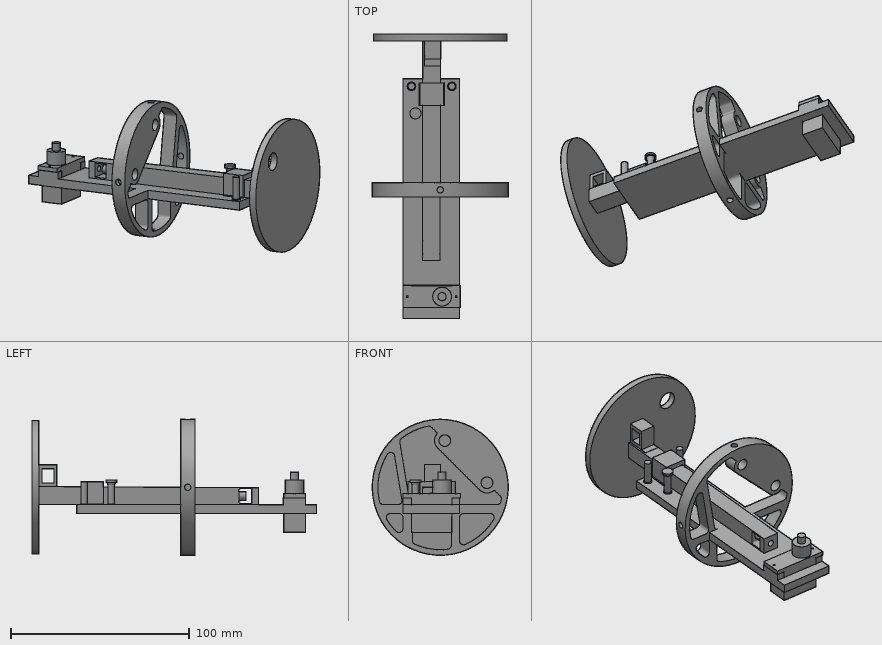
import cadquery as cq
import math


plank_left = -20.9
plank_right = 10.9
plank_top = -9.7
plank_thickness = 5.0
plank_bottom = plank_top - plank_thickness
plank_length = 134.5
foot = 0.5

ring_diameter = 76.3
ring_front = 68.1
ring_thickness = 8.1
ring_rear = ring_front + ring_thickness
ring_middle = ring_front + ring_thickness / 2
rim = 3.2
opening_radius = ring_diameter / 2 - rim
corner_radius = 2.2
screw_hole_diameter = 3.5
spoke_slope = -6.1
spoke_left_x = -21.0
spoke_right_x = -16.9
strut_inner_left = -15.6
strut_inner_right = 6.2
ring_hole_diameter = 6.5
ring_hole_near = 2.5
ring_hole_far = 26.2
ring_hole_centers = [(ring_hole_near, ring_hole_far), (ring_hole_far, ring_hole_near)]
boss_radius = 5.7
boss_corner_radius = 1.0

block_left = -11.3
block_right = 1.9
block_front = 119.5
block_length = 12.6
pin_top = 3.2
pin_diameter = 3.8
pin_foot_diameter = pin_diameter + 2 * foot
plain_pins = [(-16.1, 130.2), (6.5, 130.2)]
headed_pin = (-13.9, 115.0)
head_top = 4.1
head_diameter = 6.2
head_height = 1.5
neck_height = 1.6

disc_diameter = 75.0
disc_thickness = 4.0
disc_back = 159.6
disc_front = disc_back - disc_thickness
disc_hole_diameter = 10.0
disc_hole_offset = 17.5
bar_left = -9.9
bar_front = 32.5
bar_front_width = 9.7
bar_front_height = 9.5
bar_rear_size = 10.2
window_front = 36.4
window_rear = 43.5
window_bottom = -9.0
window_top = -0.8
window_fillet = 0.8
bar_axis_x = bar_left + bar_front_width / 2
bar_axis_z = plank_top + bar_front_height / 2
front_hole_diameter = 3.5
peg_diameter = 5.0
peg_length = 4.0
peg_foot_diameter = 5.5
peg_foot_length = 1.0
loop_left = -8.8
loop_right = 0.2
loop_length = 10.0
loop_top = 12.8
loop_wall = 1.8
loop_opening_bottom = 2.5
loop_opening_top = 10.4
pad_length = 3.8
pad_height = 0.2

servo_front = 6.2
servo_depth = 12.3
servo_clearance = 0.3
servo_middle = servo_front + servo_depth / 2
servo_left = -16.1
servo_right = 6.5
servo_bottom = -25.2
flange_left = plank_left
flange_right = 11.3
flange_top = -3.5
flange_thickness = 2.4
flange_bottom = flange_top - flange_thickness
shaft_x = 1.04
hub_diameter = 10.5
hub_top = 4.1
shaft_diameter = 4.6
shaft_top = 8.5
flange_holes_x = (-18.5, 9.0)
flange_hole_diameter = 1.0


def box(x0, x1, y0, y1, z0, z1):
    """Box between two opposite corners."""
    return cq.Workplane("XY").box(x1 - x0, y1 - y0, z1 - z0, centered=False).translate((x0, y0, z0))


def cylinder_y(x, z, diameter, y0, y1):
    """Cylinder along Y from y0 to y1."""
    return cq.Workplane(cq.Solid.makeCylinder(
        diameter / 2, y1 - y0, cq.Vector(x, y0, z), cq.Vector(0, 1, 0)))


def cylinder_z(x, y, diameter, z0, z1):
    """Cylinder along Z from z0 to z1."""
    return cq.Workplane(cq.Solid.makeCylinder(diameter / 2, z1 - z0, cq.Vector(x, y, z0)))


def ring_prism(points):
    """Prism through the ring's thickness with the given (x, z) corners."""
    flat = cq.Workplane("XZ", origin=(0, ring_front, 0)).polyline(points).close()
    return flat.extrude(-ring_thickness)


def inside_rim(points):
    """The part of a prism that lies inside the ring's rim."""
    bore = cylinder_y(0, 0, 2 * opening_radius, ring_front, ring_rear)
    return bore.intersect(ring_prism(points))


def spoke_x(x_at_plank, z):
    """X of a slanted spoke edge at height z."""
    return x_at_plank + (z - plank_top) / spoke_slope


def main_opening():
    """Large opening above the plank, bounded by the spoke and the land with the two holes."""
    reach = ring_diameter
    center_sum = ring_hole_near + ring_hole_far
    step = boss_radius / math.sqrt(2)
    opening = inside_rim([
        (spoke_right_x, plank_top),
        (center_sum - plank_top, plank_top),
        (center_sum - reach, reach),
        (spoke_x(spoke_right_x, reach), reach),
    ]).edges("|Y").fillet(corner_radius)
    land = ring_prism([
        (ring_hole_near, ring_hole_far),
        (ring_hole_far, ring_hole_near),
        (ring_hole_far - step, ring_hole_near - step),
        (ring_hole_near - step, ring_hole_far - step),
    ])
    opening = opening.cut(land)
    for x, z in ring_hole_centers:
        opening = opening.cut(cylinder_y(x, z, 2 * boss_radius, ring_front, ring_rear))
    boss_corners = [
        (ring_hole_near - step, ring_hole_far + step),
        (ring_hole_far + step, ring_hole_near - step),
    ]
    for x, z in boss_corners:
        corner = cq.selectors.NearestToPointSelector((x, ring_middle, z))
        opening = opening.edges(corner).fillet(boss_corner_radius)
    return opening


def side_openings():
    """The four smaller openings: left of the spoke, and three below the plank."""
    reach = ring_diameter
    left = [
        (spoke_left_x, plank_top),
        (-reach, plank_top),
        (-reach, reach),
        (spoke_x(spoke_left_x, reach), reach),
    ]
    outlines = [left]
    for x0, x1 in ((-reach, plank_left), (strut_inner_left, strut_inner_right), (plank_right, reach)):
        outlines.append([(x0, plank_bottom), (x1, plank_bottom), (x1, -reach), (x0, -reach)])
    return [inside_rim(outline).edges("|Y").fillet(corner_radius) for outline in outlines]


def make_ring():
    ring = cylinder_y(0, 0, ring_diameter, ring_front, ring_rear)
    for opening in [main_opening(), *side_openings()]:
        ring = ring.cut(opening)
    for x, z in ring_hole_centers:
        ring = ring.cut(cylinder_y(x, z, ring_hole_diameter, ring_front, ring_rear))
    screw_hole = cylinder_z(0, ring_middle, screw_hole_diameter, opening_radius, ring_diameter / 2)
    for angle in (0, 90, 180, 270):
        ring = ring.cut(screw_hole.rotate((0, 0, 0), (0, 1, 0), angle))
    return ring


def make_pin(x, y, top):
    """Pin standing on the plank with a chamfered foot."""
    pin = cylinder_z(x, y, pin_diameter, plank_top, top)
    cone = cq.Solid.makeCone(pin_foot_diameter / 2, pin_diameter / 2, foot, cq.Vector(x, y, plank_top))
    return pin.union(cq.Workplane(cone))


def make_headed_pin():
    x, y = headed_pin
    head_bottom = head_top - head_height
    neck_bottom = head_bottom - neck_height
    neck = cq.Solid.makeCone(
        pin_diameter / 2, pin_foot_diameter / 2, neck_height, cq.Vector(x, y, neck_bottom))
    head = cylinder_z(x, y, head_diameter, head_bottom, head_top)
    return make_pin(x, y, head_bottom).union(cq.Workplane(neck)).union(head)


def make_guide_block():
    """Block that encloses the bar, with a chamfered foot along both sides."""
    profile = [
        (block_left - foot, plank_top),
        (block_right + foot, plank_top),
        (block_right, plank_top + foot),
        (block_right, pin_top),
        (block_left, pin_top),
        (block_left, plank_top + foot),
    ]
    outline = cq.Workplane("XZ", origin=(0, block_front, 0)).polyline(profile).close()
    return outline.extrude(-block_length)


def make_frame(bar):
    plank = box(plank_left, plank_right, 0, plank_length, plank_bottom, plank_top)
    pocket_rear = servo_front + servo_depth + servo_clearance
    posts = box(plank_left, plank_right, servo_front, pocket_rear, plank_top, flange_bottom)
    servo_pocket = box(servo_left, servo_right, servo_front, pocket_rear, plank_bottom, flange_bottom)
    frame = plank.union(make_ring()).union(posts).cut(servo_pocket)
    frame = frame.union(make_guide_block().cut(bar))
    for x, y in plain_pins:
        frame = frame.union(make_pin(x, y, pin_top))
    return frame.union(make_headed_pin())


def make_bar():
    """Square bar, flat on its left and bottom sides, growing slightly toward the disc."""
    def section(y, width, height):
        right = bar_left + width
        top = plank_top + height
        corners = [(bar_left, plank_top), (right, plank_top), (right, top), (bar_left, top)]
        return cq.Wire.makePolygon([cq.Vector(x, y, z) for x, z in corners], close=True)

    front_end = section(bar_front, bar_front_width, bar_front_height)
    rear_end = section(disc_front, bar_rear_size, bar_rear_size)
    return cq.Workplane(cq.Solid.makeLoft([front_end, rear_end], True))


def make_slider(bar):
    disc = cylinder_y(0, 0, disc_diameter, disc_front, disc_back)
    disc = disc.cut(cylinder_y(disc_hole_offset, disc_hole_offset, disc_hole_diameter, disc_front, disc_back))

    window = box(bar_left, bar_left + bar_rear_size, window_front, window_rear, window_bottom, window_top)
    window = window.edges("|X and >Y").fillet(window_fillet)
    front_hole = cylinder_y(bar_axis_x, bar_axis_z, front_hole_diameter, bar_front, window_front)
    peg = cylinder_y(bar_axis_x, bar_axis_z, peg_diameter, window_rear - peg_length, window_rear)
    foot_cone = cq.Solid.makeCone(
        peg_foot_diameter / 2, peg_diameter / 2, peg_foot_length,
        cq.Vector(bar_axis_x, window_rear, bar_axis_z), cq.Vector(0, -1, 0))
    peg = peg.union(cq.Workplane(foot_cone))

    bar_top = plank_top + bar_rear_size
    loop_front = disc_front - loop_length
    loop = box(loop_left, loop_right, loop_front, disc_front, bar_top - pad_height, loop_top)
    loop = loop.cut(box(loop_left, loop_right, loop_front + loop_wall, disc_front - loop_wall,
                        loop_opening_bottom, loop_opening_top))
    pad = box(loop_left, loop_right, loop_front - pad_length, loop_front, bar_top - pad_height, bar_top)
    pierced_bar = bar.cut(window).cut(front_hole)
    return disc.union(pierced_bar).union(peg).union(loop).union(pad)


def make_servo():
    servo_rear = servo_front + servo_depth
    servo = box(servo_left, servo_right, servo_front, servo_rear, servo_bottom, flange_bottom)
    servo = servo.union(box(flange_left, flange_right, servo_front, servo_rear, flange_bottom, flange_top))
    servo = servo.union(cylinder_z(shaft_x, servo_middle, hub_diameter, flange_top, hub_top))
    servo = servo.union(cylinder_z(shaft_x, servo_middle, shaft_diameter, hub_top, shaft_top))
    for x in flange_holes_x:
        servo = servo.cut(cylinder_z(x, servo_middle, flange_hole_diameter, flange_bottom, flange_top))
    return servo


bar = make_bar()
frame = make_frame(bar)
slider = make_slider(bar)
servo = make_servo()

result = cq.Compound.makeCompound([frame.val(), slider.val(), servo.val()])